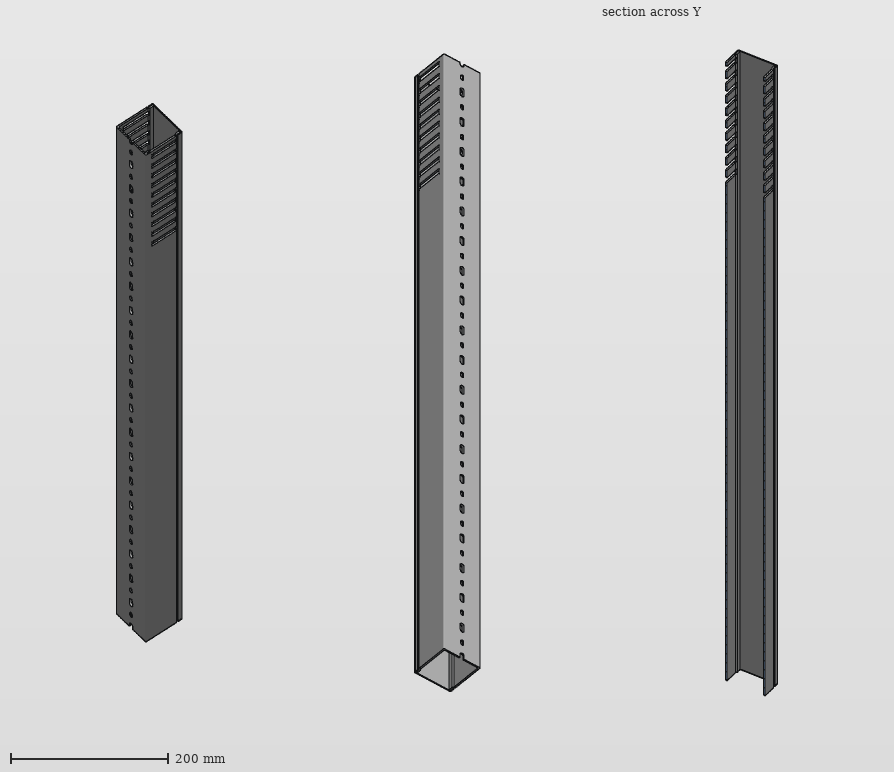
import cadquery as cq
WIDTH = 60.0
DEPTH = 60.0
LENGTH = 1000.0
CORNER_RADIUS = 1.0

COVER_WALL = 1.5
COVER_LEG = 7.0

SIDE_WALL = 2.5
FLOOR_WALL = 2.0
FLOOR_FILLET = 2.0
SHOULDER_GAP = 1.0
SHOULDER_RISE = 2.0

WIRING_SLOT_COUNT = 10
WIRING_SLOT_PITCH = 20.0
WIRING_SLOT_HEIGHT = 8.0
WIRING_SLOT_FIRST_DROP = 10.5
WIRING_SLOT_FLOOR_OFFSET = 10.0

HOLE_PITCH = 50.0
HOLE_SHIFT = 1.5
HOLE_WIDTH = 6.5
HOLE_HEIGHT = 14.0
SMALL_SLOT_WIDTH = 5.0
SMALL_SLOT_HEIGHT = 8.0

PAD_DIAMETER = 20.0
PAD_HEIGHT = 2.0
PAD_TAPER = 45

HALF_WIDTH = WIDTH / 2
FLOOR_Y = -DEPTH / 2
FLOOR_INNER_Y = FLOOR_Y + FLOOR_WALL
COVER_Y = DEPTH / 2
COVER_INNER_Y = COVER_Y - COVER_WALL
COVER_LEG_Y = COVER_Y - COVER_LEG
SHOULDER_TOP_Y = COVER_LEG_Y - SHOULDER_GAP
SHOULDER_Y = SHOULDER_TOP_Y - SHOULDER_RISE
HOLE_COUNT = round(LENGTH / HOLE_PITCH)


def stepped_prism(half_width, bottom_y, corner_radius):
    """Full-length prism, wide below the shoulder and narrower between the cover legs."""
    neck = half_width - COVER_WALL
    return (
        cq.Workplane("XY")
        .polyline([
            (-half_width, bottom_y),
            (half_width, bottom_y),
            (half_width, SHOULDER_Y),
            (neck, SHOULDER_TOP_Y),
            (neck, COVER_INNER_Y),
            (-neck, COVER_INNER_Y),
            (-neck, SHOULDER_TOP_Y),
            (-half_width, SHOULDER_Y),
        ])
        .close()
        .extrude(LENGTH)
        .edges("|Z and <Y")
        .fillet(corner_radius)
    )


def hole_level(index):
    """Height of a large mounting slot; half indexes lie midway between two of them."""
    return HOLE_PITCH * index + HOLE_SHIFT


def floor_slots(width, height, z_levels):
    """Round-ended cutters through the floor and its pads, long axis along Z."""
    depth = FLOOR_WALL + PAD_HEIGHT
    return (
        cq.Workplane("XZ", origin=(0, FLOOR_Y + depth, 0))
        .pushPoints([(0, z) for z in z_levels])
        .slot2D(height, width, 90)
        .extrude(depth)
    )


def floor_pad(z):
    """Conical pad standing on the inner face of the floor."""
    return (
        cq.Workplane("XZ", origin=(0, FLOOR_INNER_Y, z))
        .circle(PAD_DIAMETER / 2)
        .extrude(-PAD_HEIGHT, taper=PAD_TAPER)
    )


def wiring_slot(index):
    """Cutter for one pair of slots, counted from the top end of the duct."""
    start_y = FLOOR_Y + WIRING_SLOT_FLOOR_OFFSET
    z = LENGTH - WIRING_SLOT_FIRST_DROP - index * WIRING_SLOT_PITCH
    cutter = cq.Workplane("XY").box(WIDTH, SHOULDER_TOP_Y - start_y, WIRING_SLOT_HEIGHT)
    return cutter.translate((0, (start_y + SHOULDER_TOP_Y) / 2, z))


def make_channel():
    outer = stepped_prism(HALF_WIDTH, FLOOR_Y, CORNER_RADIUS)
    cavity = stepped_prism(HALF_WIDTH - SIDE_WALL, FLOOR_INNER_Y, FLOOR_FILLET)
    channel = outer.cut(cavity)

    for i in range(1, HOLE_COUNT, 2):
        channel = channel.union(floor_pad(hole_level(i)))

    hole_levels = [hole_level(i) for i in range(HOLE_COUNT + 1)]
    small_levels = [hole_level(i + 0.5) for i in range(HOLE_COUNT)]
    channel = channel.cut(floor_slots(HOLE_WIDTH, HOLE_HEIGHT, hole_levels))
    channel = channel.cut(floor_slots(SMALL_SLOT_WIDTH, SMALL_SLOT_HEIGHT, small_levels))

    for i in range(WIRING_SLOT_COUNT):
        channel = channel.cut(wiring_slot(i))
    return channel


def make_cover():
    outer = (
        cq.Workplane("XY", origin=(0, (COVER_Y + COVER_LEG_Y) / 2, 0))
        .rect(WIDTH, COVER_LEG)
        .extrude(LENGTH)
        .edges("|Z and >Y")
        .fillet(CORNER_RADIUS)
    )
    cavity = (
        cq.Workplane("XY", origin=(0, (COVER_INNER_Y + COVER_LEG_Y) / 2, 0))
        .rect(WIDTH - 2 * COVER_WALL, COVER_INNER_Y - COVER_LEG_Y)
        .extrude(LENGTH)
    )
    return outer.cut(cavity)


channel = make_channel()
cover = make_cover()
result = cq.Compound.makeCompound([channel.val(), cover.val()])